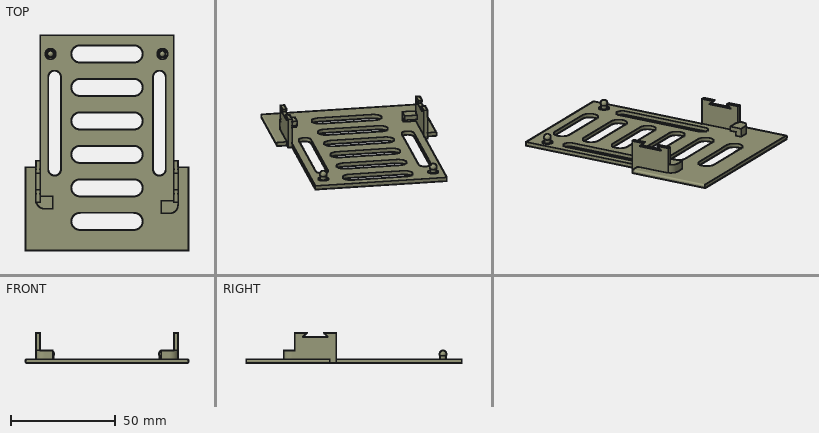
import cadquery as cq


plate_length = 103.0
plate_thickness = 2.0
front_width = 78.0
front_length = 40.0
rear_width = 64.0
side_edge_radius = 0.8

cross_slot_count = 6
cross_slot_length = 34.0
cross_slot_width = 8.0
first_cross_slot_y = 14.0
last_cross_slot_y = 94.0
cross_slot_pitch = (last_cross_slot_y - first_cross_slot_y) / (cross_slot_count - 1)

long_slot_length = 50.1
long_slot_width = 6.0
long_slot_x = 25.0
long_slot_y = 61.0

part_height = 14.5
wall_thickness = 2.0
wall_length = 20.0
wall_front_y = 23.1
dovetail_depth = 2.0
dovetail_mouth = 7.8
dovetail_floor = dovetail_mouth + 2 * dovetail_depth

clip_width = 8.0
clip_length = 6.0
clip_height = 4.1
clip_corner_radius = 4.0
left_clip_front_y = 20.1
right_clip_front_y = 17.8
clip_recess_height = 2.0
clip_recess_depth = clip_length / 2

pin_diameter = 3.0
pin_head_diameter = 3.4
pin_height = 4.1
left_pin_x = -27.0
right_pin_x = 26.5
pin_y = last_cross_slot_y
groove_diameter = 5.0
groove_depth = 0.1

wall_inner_x = rear_width / 2
wall_outer_x = wall_inner_x + wall_thickness


def make_plate():
    front = (
        cq.Workplane("XY")
        .box(front_width, front_length, plate_thickness, centered=(True, False, False))
        .edges("|Y")
        .fillet(side_edge_radius)
    )
    rear = cq.Workplane("XY").box(rear_width, plate_length, plate_thickness, centered=(True, False, False))
    cross_slots = (
        cq.Workplane("XY")
        .pushPoints([(0, first_cross_slot_y + i * cross_slot_pitch) for i in range(cross_slot_count)])
        .slot2D(cross_slot_length, cross_slot_width)
        .extrude(plate_thickness)
    )
    long_slots = (
        cq.Workplane("XY")
        .pushPoints([(-long_slot_x, long_slot_y), (long_slot_x, long_slot_y)])
        .slot2D(long_slot_length, long_slot_width, 90)
        .extrude(plate_thickness)
    )
    return front.union(rear).cut(cross_slots).cut(long_slots)


def make_right_wall():
    """Upright wall with a dovetail notch in its top edge."""
    middle_y = wall_front_y + wall_length / 2
    wall_rear_y = wall_front_y + wall_length
    notch_floor_z = part_height - dovetail_depth
    return (
        cq.Workplane("YZ", origin=(wall_inner_x, 0, 0))
        .moveTo(wall_front_y, 0)
        .lineTo(wall_rear_y, 0)
        .lineTo(wall_rear_y, part_height)
        .lineTo(middle_y + dovetail_mouth / 2, part_height)
        .lineTo(middle_y + dovetail_floor / 2, notch_floor_z)
        .lineTo(middle_y - dovetail_floor / 2, notch_floor_z)
        .lineTo(middle_y - dovetail_mouth / 2, part_height)
        .lineTo(wall_front_y, part_height)
        .close()
        .extrude(wall_thickness)
    )


def make_right_clip(front_y):
    """Block with a rounded outer front corner and a recess under its rear half."""
    block = (
        cq.Workplane("XY", origin=(wall_outer_x - clip_width, front_y, plate_thickness))
        .box(clip_width, clip_length, clip_height, centered=False)
        .edges("|Z and >X and <Y")
        .fillet(clip_corner_radius)
    )
    recess_y = front_y + clip_length - clip_recess_depth
    recess = cq.Workplane("XY", origin=(wall_outer_x - clip_width, recess_y, plate_thickness)).box(
        clip_width - wall_thickness, clip_recess_depth, clip_recess_height, centered=False
    )
    return block.cut(recess)


def make_pin():
    """Stem topped by a slightly wider ball, about the Z axis."""
    head_radius = pin_head_diameter / 2
    head_center = pin_height - head_radius
    stem = cq.Workplane("XY").circle(pin_diameter / 2).extrude(head_center)
    head = cq.Workplane("XY", origin=(0, 0, head_center)).sphere(head_radius)
    return stem.union(head)


def make_pin_groove():
    """Shallow ring around the foot of a pin, going down from the XY plane."""
    return cq.Workplane("XY").circle(groove_diameter / 2).circle(pin_diameter / 2).extrude(-groove_depth)


def mirror_to_left(body):
    return body.mirror("YZ")


wall = make_right_wall()
result = make_plate().union(wall).union(mirror_to_left(wall))
result = result.union(make_right_clip(right_clip_front_y))
result = result.union(mirror_to_left(make_right_clip(left_clip_front_y)))
for pin_x in (left_pin_x, right_pin_x):
    pin_foot = (pin_x, pin_y, plate_thickness)
    result = result.cut(make_pin_groove().translate(pin_foot))
    result = result.union(make_pin().translate(pin_foot))